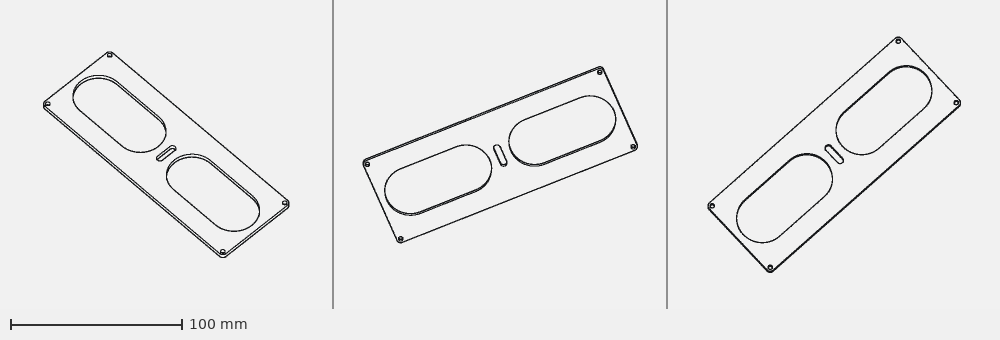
import cadquery as cq

length = 152.0
width = 55.0
thickness = 3.0
corner_radius = 2.5

hole_diameter = 2.6
hole_spacing_x = length - 2 * corner_radius
hole_spacing_y = width - 2 * corner_radius

window_length = 65.0
window_width = 30.0
window_spacing = 78.6

slot_length = 14.0
slot_width = 4.0

plate = (
    cq.Workplane("XY")
    .box(length, width, thickness)
    .edges("|Z")
    .fillet(corner_radius)
)

screw_holes = (
    cq.Workplane("XY")
    .rect(hole_spacing_x, hole_spacing_y, forConstruction=True)
    .vertices()
    .circle(hole_diameter / 2)
    .extrude(thickness, both=True)
)

windows = (
    cq.Workplane("XY")
    .rarray(window_spacing, 1.5, 2, 1)
    .slot2D(window_length, window_width)
    .extrude(thickness, both=True)
)

center_slot = (
    cq.Workplane("XY")
    .slot2D(slot_length, slot_width, angle=90)
    .extrude(thickness, both=True)
)

result = plate.cut(screw_holes).cut(windows).cut(center_slot)